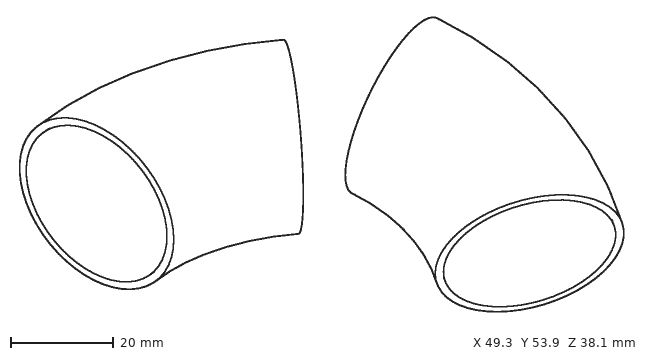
import cadquery as cq
import math

overall_length = 53.9
bend_angle = 45.0
bend_ratio = 1.5
wall = 1.65

outer_bend_radius = overall_length / math.sin(math.radians(bend_angle))
outer_diameter = outer_bend_radius / (bend_ratio + 0.5)
bend_radius = bend_ratio * outer_diameter
inner_diameter = outer_diameter - 2 * wall

inlet_ring = cq.Workplane("XZ").circle(outer_diameter / 2).circle(inner_diameter / 2)

bend_axis_start = (bend_radius, 0)
bend_axis_end = (bend_radius, -1)
result = inlet_ring.revolve(bend_angle, bend_axis_start, bend_axis_end)